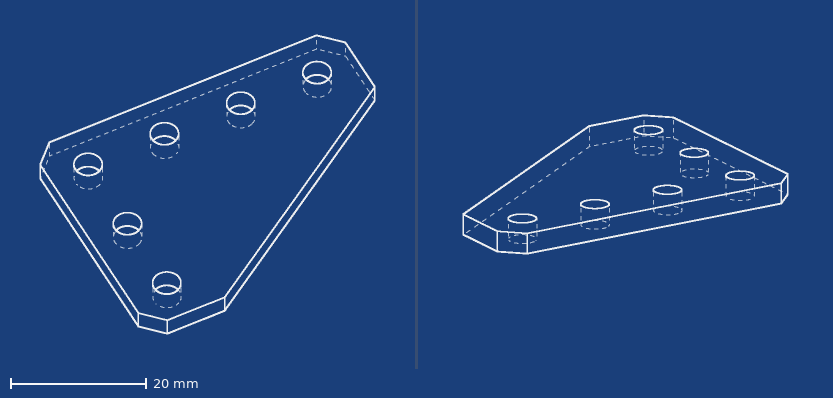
import cadquery as cq

pitch = 12.7
holes_along_x = 3
holes_along_y = 4
thickness = pitch / 4
corner_cut = pitch / 4
hole_diameter = 4.2

length_x = holes_along_x * pitch
length_y = holes_along_y * pitch
edge_distance = pitch / 2


def make_plate():
    """Flat L-joining plate: cut corners and a sloped side between the leg ends."""
    outline = [
        (corner_cut, 0),
        (length_x - corner_cut, 0),
        (length_x, corner_cut),
        (length_x, pitch),
        (pitch, length_y),
        (corner_cut, length_y),
        (0, length_y - corner_cut),
        (0, corner_cut),
    ]
    return cq.Workplane("XY").polyline(outline).close().extrude(thickness)


def hole_centres():
    """One row of holes along each leg, sharing the corner hole."""
    row_x = [(edge_distance + i * pitch, edge_distance) for i in range(holes_along_x)]
    row_y = [(edge_distance, edge_distance + i * pitch) for i in range(1, holes_along_y)]
    return row_x + row_y


def make_hole_cutters():
    """Cylinders for the through holes."""
    return (
        cq.Workplane("XY")
        .pushPoints(hole_centres())
        .circle(hole_diameter / 2)
        .extrude(thickness)
    )


result = make_plate().cut(make_hole_cutters())